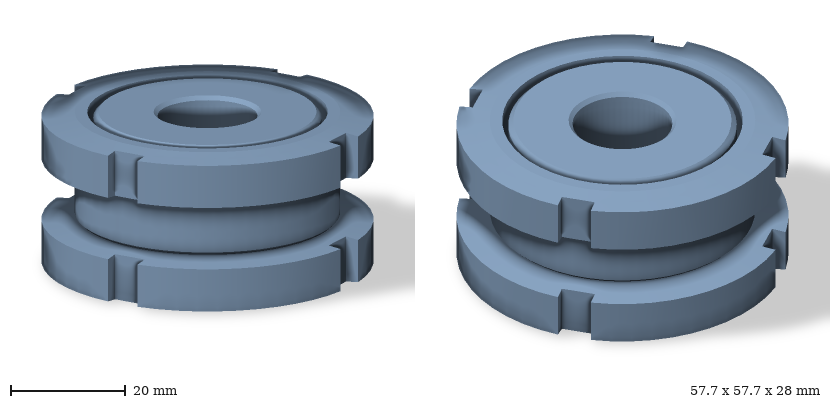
import cadquery as cq
import math

overall_width = 57.7
overall_height = 28.0

slot_width = 6.0
slot_floor_radius = 26.4
flange_radius = math.hypot(overall_width / 2, slot_width / 2)
flange_thickness = 9.0
bevel_height = 0.65
face_radius = 23.2
slot_count = 4

sleeve_radius = face_radius
sleeve_chamfer = 0.6
sleeve_bore_radius = 21.0

boss_radius = 19.95
boss_chamfer = 0.9
hole_radius = 8.7
hole_chamfer = 0.7


def slotted_flange(base_z):
    """Disc with conical bevels on both faces and spanner slots around the rim."""
    profile = [
        (0, 0),
        (face_radius, 0),
        (flange_radius, bevel_height),
        (flange_radius, flange_thickness - bevel_height),
        (face_radius, flange_thickness),
        (0, flange_thickness),
    ]
    flange = cq.Workplane("XZ").polyline(profile).close().revolve(360, (0, 0, 0), (0, 1, 0))
    slot = (
        cq.Workplane("XY")
        .box(flange_radius, slot_width, flange_thickness, centered=(False, True, False))
        .translate((slot_floor_radius, 0, 0))
    )
    for index in range(slot_count):
        flange = flange.cut(slot.rotate((0, 0, 0), (0, 0, 1), index * 360 / slot_count))
    return flange.translate((0, 0, base_z))


def make_lower_body():
    """Lower flange with the central boss and its through hole."""
    boss = (
        cq.Workplane("XY")
        .circle(boss_radius)
        .extrude(overall_height)
        .faces(">Z")
        .chamfer(boss_chamfer)
    )
    hole = cq.Workplane("XY").circle(hole_radius).extrude(overall_height)
    body = slotted_flange(0).union(boss).cut(hole)
    hole_rim = cq.selectors.RadiusNthSelector(0)
    return body.faces(">Z").edges(hole_rim).chamfer(hole_chamfer)


def make_upper_body():
    """Upper flange with a sleeve that rests on the lower flange around the boss."""
    sleeve = (
        cq.Workplane("XY", origin=(0, 0, flange_thickness))
        .circle(sleeve_radius)
        .extrude(overall_height - flange_thickness)
        .faces("<Z")
        .chamfer(sleeve_chamfer)
    )
    bore = cq.Workplane("XY").circle(sleeve_bore_radius).extrude(overall_height)
    return slotted_flange(overall_height - flange_thickness).union(sleeve).cut(bore)


lower_body = make_lower_body()
upper_body = make_upper_body()

result = cq.Compound.makeCompound([lower_body.solids().val(), upper_body.solids().val()])